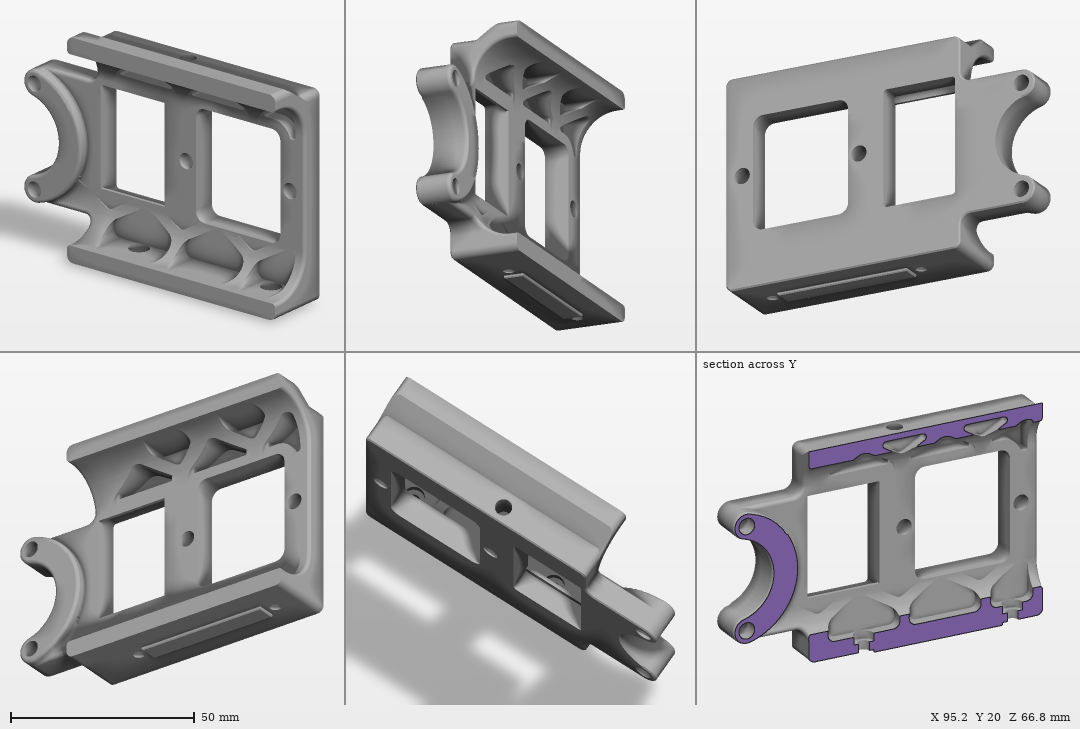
import cadquery as cq
import math

BODY_LEFT = 23.0
BODY_RIGHT = 95.2
DEPTH = 20.0
HEIGHT = 66.0
MID_Z = HEIGHT / 2
FLANGE_THICKNESS = 5.0
PLATE_FRONT = 13.0
COVE_RADIUS = 11.0
COVE_FRONT = PLATE_FRONT - COVE_RADIUS
STEP_DROP = 4.0
STEP_FRONT = 5.5
STEP_BACK = 11.3
END_ROUND = 2.0
EDGE_ROUND = 1.0
BACK_CHAMFER = 0.4
TOLERANCE = 0.1

RING_X = 0.0
RING_Z = 29.0
RING_FOOT_ROUND = 1.0
RING_FOOT_ANGLE = math.radians(45)
RING_OUTER = 20.0
RING_INNER = 12.0
RING_FRONT = 9.7
LUG_RADIUS = (RING_OUTER - RING_INNER) / 2
LUG_X = LUG_RADIUS
LUG_HALF_SPACING = 15.5
ARM_HALF_HEIGHT = LUG_HALF_SPACING + LUG_RADIUS
ARM_ROUND = 3.0

HOLE_DIAMETER = 4.7
PLATE_HOLE_XS = (54.1, 90.1)
WINDOW_HEIGHT = 33.4
LARGE_WINDOW_X = sum(PLATE_HOLE_XS) / 2
LARGE_WINDOW_WIDTH = 29.3
LARGE_WINDOW_ROUND = 3.0
SMALL_WINDOW_X = 35.45
SMALL_WINDOW_WIDTH = 22.1
SMALL_WINDOW_FRONT_HEIGHT = 30.4
SMALL_WINDOW_REAR_HEIGHT = 34.4
SMALL_WINDOW_RIM = 1.0
SMALL_WINDOW_ROUND = 1.0
TOP_HOLE_X = 52.6
TOP_HOLE_Y = 15.8
TOP_HOLE_DEPTH = 10.0

SCREW_XS = (40.1, 85.9)
SCREW_Y = 10.0
SCREW_DIAMETER = 3.2
COUNTERBORE_DIAMETER = 6.0
COUNTERBORE_DEPTH = 2.3
RAIL_WIDTH = 5.8
RAIL_HEIGHT = 0.8
RAIL_CHAMFER = 0.3

PITCH = 25.0
HOUSE_COUNT = 3
FIRST_HOUSE_X = 40.1
HOUSE_XS = [FIRST_HOUSE_X + PITCH * i for i in range(HOUSE_COUNT)]
WEDGE_XS = [x - PITCH / 2 for x in HOUSE_XS]
SLANT = math.tan(math.radians(30))
HOUSE_HALF_WIDTH = 11.0
HOUSE_PEAK = 16.2
UPPER_SHIFT = 43.2
HOUSE_RIGHT_LIMIT = 92.1
PEAK_ROUND = 4.0
SHOULDER_ROUND = 4.0
FOOT_ROUND = 2.0
WEDGE_TIP = 12.4
WEDGE_TIP_ROUND = 2.0
WEDGE_CORNER_ROUND = 1.0
LOWER_WEDGE_TOP = 20.0
DEEP_INSET = 2.0
DEEP_BACK = 17.0
DEEP_ROUND = 0.6
WINDOW_TOP_WALL = 3.0
WINDOW_SIDE_WALL = 3.6
WINDOW_WALL_ROUND = 6.0


def block(x0, x1, y0, y1, z0, z1):
    return cq.Workplane("XY").box(x1 - x0, y1 - y0, z1 - z0, centered=False).translate((x0, y0, z0))


def along_y(sketch_plane, front, back):
    """Extrude an XZ outline from y = front to y = back."""
    return sketch_plane.extrude(-(back - front)).translate((0, front, 0))


def xz():
    return cq.Workplane("XZ")


def cylinder_y(x, z, radius, front, back):
    return along_y(xz().center(x, z).circle(radius), front, back)


def window(x, width, height, front, back):
    return along_y(xz().center(x, MID_Z).rect(width, height), front, back)


def rounded_slab(height):
    """Body-length slab with rounded ends."""
    slab = block(BODY_LEFT, BODY_RIGHT, 0, DEPTH, 0, height)
    return slab.edges("|Y").fillet(END_ROUND)


def cut_cove_channel(solid):
    """Cut the full-length channel whose two coves blend the plate into the flanges."""
    channel = block(0, BODY_RIGHT, -COVE_RADIUS, PLATE_FRONT, FLANGE_THICKNESS, HEIGHT - FLANGE_THICKNESS)
    return solid.cut(channel.edges("|X and >Y").fillet(COVE_RADIUS))


def y_edges_near(solid, x, z):
    """Edges parallel to Y that pass close to the point (x, z)."""
    low_corner = (x - TOLERANCE, -TOLERANCE, z - TOLERANCE)
    high_corner = (x + TOLERANCE, DEPTH + TOLERANCE, z + TOLERANCE)
    return solid.edges(cq.selectors.BoxSelector(low_corner, high_corner)).edges("|Y")


def make_body():
    """Low slab plus a taller front part whose top slopes down toward the back."""
    low_top = HEIGHT - STEP_DROP
    slope_end = low_top - STEP_DROP * (DEPTH - STEP_BACK) / (STEP_BACK - STEP_FRONT)
    below_slope = (
        cq.Workplane("YZ")
        .polyline([(0, 0), (DEPTH, 0), (DEPTH, slope_end), (STEP_FRONT, HEIGHT), (0, HEIGHT)])
        .close()
        .extrude(BODY_RIGHT)
    )
    return rounded_slab(HEIGHT).intersect(below_slope).union(rounded_slab(low_top))


def make_arm_plate():
    """Flat stock that joins the body to the ring."""
    low = RING_Z - ARM_HALF_HEIGHT
    high = RING_Z + ARM_HALF_HEIGHT
    return block(LUG_X, BODY_LEFT, 0, DEPTH, low, high)


def round_plate_edges(plate):
    """Round the inside corners of the arm, then the front edges and the back outline."""
    arm_low = RING_Z - ARM_HALF_HEIGHT
    arm_high = RING_Z + ARM_HALF_HEIGHT
    for z in (arm_low, arm_high):
        plate = y_edges_near(plate, BODY_LEFT, z).fillet(ARM_ROUND)
    plate = plate.faces(">Y").edges().chamfer(BACK_CHAMFER)
    arm_middle = (LUG_X + BODY_LEFT) / 2
    for x, z in ((BODY_RIGHT, MID_Z), (arm_middle, arm_high), (arm_middle, arm_low)):
        front_edge = cq.selectors.NearestToPointSelector((x, PLATE_FRONT, z))
        plate = plate.edges(front_edge).fillet(EDGE_ROUND)
    return plate


def house(x, foot_z, half_width, shoulder_round, front, back):
    """House-shaped pocket with upright sides and a peaked roof, cut short at the right end of the body."""
    peak_z = foot_z + HOUSE_PEAK - FLANGE_THICKNESS
    shoulder_z = peak_z - SLANT * half_width
    left = x - half_width
    right = x + half_width
    outline = [(left, foot_z), (right, foot_z), (right, shoulder_z), (x, peak_z), (left, shoulder_z)]
    pocket = along_y(xz().polyline(outline).close(), front, back)
    pocket = pocket.edges("|Y and >Z").fillet(PEAK_ROUND)
    for side in (left, right):
        pocket = y_edges_near(pocket, side, shoulder_z).fillet(shoulder_round)
    if right > HOUSE_RIGHT_LIMIT:
        pocket = pocket.intersect(block(left, HOUSE_RIGHT_LIMIT, front, back, foot_z, peak_z))
        pocket = pocket.edges("|Y and >X").edges(">Z").fillet(EDGE_ROUND)
    return pocket


def wedge(x, shift, top_z, front, back):
    """Wedge-shaped pocket pointing down between two houses."""
    tip_z = WEDGE_TIP + shift
    half = (top_z - tip_z) / SLANT
    outline = [(x, tip_z), (x + half, top_z), (x - half, top_z)]
    pocket = along_y(xz().polyline(outline).close(), front, back)
    pocket = pocket.edges("|Y and <Z").fillet(WEDGE_TIP_ROUND)
    return pocket.faces(">Z").edges("|Y").fillet(WEDGE_CORNER_ROUND)


def cove_pockets():
    """Flat-floored pockets that leave a lattice of gussets in each cove."""
    cutter = cq.Workplane("XY")
    for x in HOUSE_XS:
        for shift in (0, UPPER_SHIFT):
            foot = FLANGE_THICKNESS + shift
            pocket = house(x, foot, HOUSE_HALF_WIDTH, SHOULDER_ROUND, 0, PLATE_FRONT)
            cutter = cutter.add(pocket.edges("|Y and <Z").fillet(FOOT_ROUND))
    for x in WEDGE_XS:
        cutter = cutter.add(wedge(x, 0, LOWER_WEDGE_TOP, 0, PLATE_FRONT))
    for x in WEDGE_XS[1:]:
        cutter = cutter.add(wedge(x, UPPER_SHIFT, HEIGHT - FLANGE_THICKNESS, 0, PLATE_FRONT))
    return cutter.combine()


def deep_pockets():
    """Upper house pockets sunk into the plate, keeping a wall around the windows."""
    guard_top = MID_Z + WINDOW_HEIGHT / 2 + WINDOW_TOP_WALL
    guard_right = LARGE_WINDOW_X + LARGE_WINDOW_WIDTH / 2 + WINDOW_SIDE_WALL
    guard = block(BODY_LEFT, guard_right, PLATE_FRONT, DEEP_BACK, 0, guard_top)
    guard = guard.edges("|Y and >X and >Z").fillet(WINDOW_WALL_ROUND)
    half_width = HOUSE_HALF_WIDTH - DEEP_INSET
    foot = FLANGE_THICKNESS + UPPER_SHIFT
    pockets = cq.Workplane("XY")
    for x in HOUSE_XS:
        pocket = house(x, foot, half_width, DEEP_ROUND, PLATE_FRONT, DEEP_BACK).cut(guard)
        pocket = y_edges_near(pocket, x - half_width, guard_top).fillet(DEEP_ROUND)
        pockets = pockets.add(pocket.edges("|Y and <Z").fillet(DEEP_ROUND))
    return pockets.combine()


def make_ring():
    """C-shaped motor ring whose two ends are rounded lugs."""
    reach = math.hypot(LUG_X - RING_X, LUG_HALF_SPACING)
    ux = (LUG_X - RING_X) / reach
    uz = LUG_HALF_SPACING / reach
    middle = (RING_INNER + RING_OUTER) / 2

    def at(radius, side):
        return (RING_X + radius * ux, RING_Z + side * radius * uz)

    def lug_tip(side):
        return (RING_X + middle * ux - LUG_RADIUS * uz, RING_Z + side * (middle * uz + LUG_RADIUS * ux))

    outline = (
        xz()
        .moveTo(*at(RING_OUTER, 1))
        .threePointArc((RING_X + RING_OUTER, RING_Z), at(RING_OUTER, -1))
        .threePointArc(lug_tip(-1), at(RING_INNER, -1))
        .threePointArc((RING_X + RING_INNER, RING_Z), at(RING_INNER, 1))
        .threePointArc(lug_tip(1), at(RING_OUTER, 1))
        .close()
    )
    ring = along_y(outline, RING_FRONT, DEPTH)
    ring = ring.faces(">Y").edges().chamfer(BACK_CHAMFER)
    return ring.faces("<Y").edges().fillet(EDGE_ROUND)


def make_rail():
    """Shallow rail under the lower flange, running between the two counterbores."""
    x0 = SCREW_XS[0] + COUNTERBORE_DIAMETER / 2
    x1 = SCREW_XS[1] - COUNTERBORE_DIAMETER / 2
    half = RAIL_WIDTH / 2
    rail = block(x0, x1, SCREW_Y - half, SCREW_Y + half, -RAIL_HEIGHT, FLANGE_THICKNESS / 2)
    return rail.faces("<Z").edges().chamfer(RAIL_CHAMFER)


def cut_windows(part):
    """Large rounded window, and a small one with a thin front rim and a taller rear."""
    large = window(LARGE_WINDOW_X, LARGE_WINDOW_WIDTH, WINDOW_HEIGHT, 0, DEPTH)
    part = part.cut(large.edges("|Y").fillet(LARGE_WINDOW_ROUND))
    part = part.cut(window(SMALL_WINDOW_X, SMALL_WINDOW_WIDTH, SMALL_WINDOW_FRONT_HEIGHT, 0, DEPTH))
    rear_front = PLATE_FRONT + SMALL_WINDOW_RIM
    rear = window(SMALL_WINDOW_X, SMALL_WINDOW_WIDTH, SMALL_WINDOW_REAR_HEIGHT, rear_front, DEPTH)
    return part.cut(rear.edges("|Y").fillet(SMALL_WINDOW_ROUND))


def cut_holes(part):
    radius = HOLE_DIAMETER / 2
    for x in PLATE_HOLE_XS:
        part = part.cut(cylinder_y(x, MID_Z, radius, 0, DEPTH))
    for side in (-1, 1):
        part = part.cut(cylinder_y(LUG_X, RING_Z + side * LUG_HALF_SPACING, radius, 0, DEPTH))
    for x in SCREW_XS:
        column = cq.Workplane("XY").center(x, SCREW_Y)
        part = part.cut(column.circle(SCREW_DIAMETER / 2).extrude(FLANGE_THICKNESS))
        bore = column.workplane(offset=FLANGE_THICKNESS - COUNTERBORE_DEPTH)
        part = part.cut(bore.circle(COUNTERBORE_DIAMETER / 2).extrude(COUNTERBORE_DEPTH))
    top_hole = cq.Workplane("XY").center(TOP_HOLE_X, TOP_HOLE_Y).circle(radius).extrude(TOP_HOLE_DEPTH)
    return part.cut(top_hole.translate((0, 0, HEIGHT - STEP_DROP - TOP_HOLE_DEPTH)))


def make_ring_fill():
    """Thin fill above the lower cove, behind the full cove cylinder, from the ring to the first wedge."""
    cove_z = FLANGE_THICKNESS + COVE_RADIUS
    fill = block(RING_X + RING_INNER, WEDGE_XS[0], COVE_FRONT, DEPTH, cove_z, LOWER_WEDGE_TOP)
    cove = cq.Workplane("YZ").center(COVE_FRONT, cove_z).circle(COVE_RADIUS).extrude(BODY_RIGHT)
    return fill.cut(cove)


def join_ring(plate, ring):
    """Open the plate inside the ring, join the two and fillet the foot of the ring along the lower cove."""
    plate = plate.union(make_ring_fill()).cut(cylinder_y(RING_X, RING_Z, RING_INNER, 0, DEPTH))
    foot_x = RING_X + RING_OUTER * math.cos(RING_FOOT_ANGLE)
    foot_z = RING_Z - RING_OUTER * math.sin(RING_FOOT_ANGLE)
    foot_edge = cq.selectors.NearestToPointSelector((foot_x, PLATE_FRONT, foot_z))
    return plate.union(ring).edges(foot_edge).fillet(RING_FOOT_ROUND)


ring = make_ring()
plate = round_plate_edges(cut_cove_channel(make_body().union(make_arm_plate())))
part = join_ring(plate, ring)
part = part.cut(cove_pockets().cut(ring)).cut(deep_pockets())
part = cut_windows(part.union(make_rail()))
result = cut_holes(part)